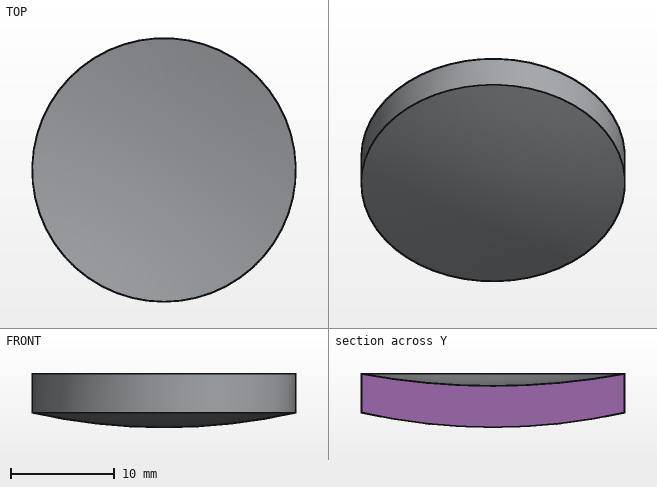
import cadquery as cq

diameter = 25.4
total_height = 5.18
convex_sag = 1.42
concave_sag = 1.17

radius = diameter / 2
rim_height = total_height - convex_sag


def sphere_radius(sag):
    """Radius of the sphere whose cap spans the lens with the given sag."""
    return (radius**2 + sag**2) / (2 * sag)


def arc_height(sag):
    """Height of a spherical cap's surface above its apex, halfway out to the rim."""
    ball = sphere_radius(sag)
    return ball - (ball**2 - (radius / 2)**2) ** 0.5


top_apex = rim_height - concave_sag
half_profile = (
    cq.Workplane("YZ")
    .moveTo(0, -convex_sag)
    .threePointArc((-radius / 2, arc_height(convex_sag) - convex_sag), (-radius, 0))
    .lineTo(-radius, rim_height)
    .threePointArc((-radius / 2, top_apex + arc_height(concave_sag)), (0, top_apex))
    .close()
)

result = half_profile.revolve(360, (0, 0, 0), (0, 1, 0))